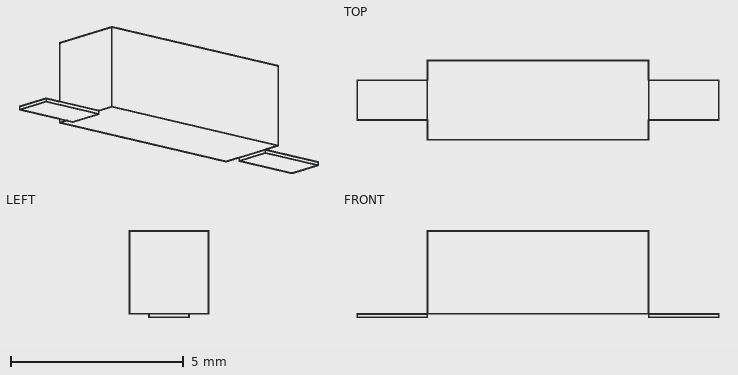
import cadquery as cq

overall_length = 10.47
body_length = 6.4
body_width = 2.3
body_height = 2.4
lead_width = 1.16
lead_thickness = 0.1

lead_length = (overall_length - body_length) / 2
lead_center_x = (body_length + lead_length) / 2


def make_body():
    """Plain rectangular block whose underside sits at the top of the leads."""
    return (
        cq.Workplane("XY")
        .workplane(offset=lead_thickness)
        .rect(body_length, body_width)
        .extrude(body_height)
    )


def make_lead(side):
    """Flat strip at one end of the body; side is -1 or +1 along X."""
    return (
        cq.Workplane("XY")
        .center(side * lead_center_x, 0)
        .rect(lead_length, lead_width)
        .extrude(lead_thickness)
    )


body = make_body()
leads = [make_lead(side) for side in (-1, 1)]

result = cq.Compound.makeCompound([body.val(), *[lead.val() for lead in leads]])